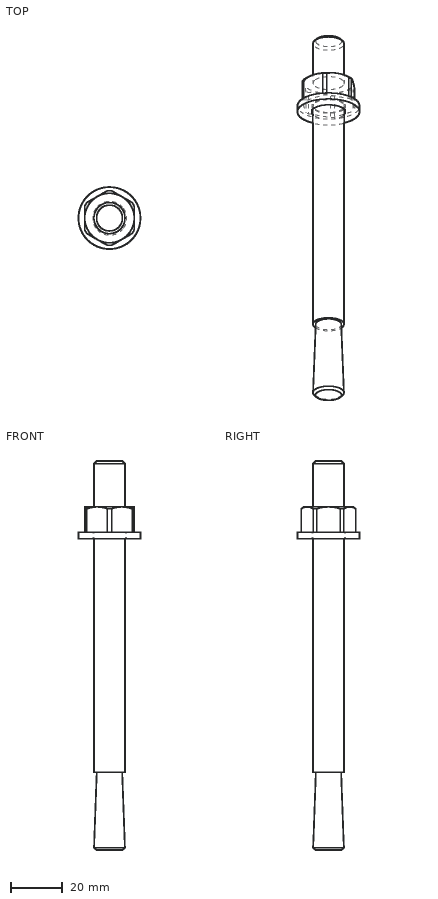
import cadquery as cq
import math

length = 150.0
shank_diameter = 12.0
shank_radius = shank_diameter / 2
top_z = length / 2
bottom_z = -length / 2
end_chamfer = 1.0

neck_top_z = bottom_z + 30.0
neck_radius = 5.0

washer_diameter = 24.0
washer_bore = 13.0
washer_thickness = 2.5
washer_bottom_z = top_z - 30.0
washer_top_z = washer_bottom_z + washer_thickness

nut_across_flats = 19.0
nut_corner_diameter = 21.2
nut_face_diameter = 19.0
nut_height = 9.8
nut_chamfer_height = 0.8


def make_stud():
    """Revolved anchor bolt with chamfered ends and a flared expansion neck."""
    chamfered_radius = shank_radius - end_chamfer
    profile = (
        cq.Workplane("XZ")
        .moveTo(0, bottom_z)
        .lineTo(chamfered_radius, bottom_z)
        .lineTo(shank_radius, bottom_z + end_chamfer)
        .lineTo(neck_radius, neck_top_z)
        .lineTo(shank_radius, neck_top_z)
        .lineTo(shank_radius, top_z - end_chamfer)
        .lineTo(chamfered_radius, top_z)
        .lineTo(0, top_z)
        .close()
    )
    return profile.revolve(360, (0, 0, 0), (0, 1, 0))


def make_nut():
    """Hexagon with its corners turned round and the top edge of those corners chamfered."""
    across_corners = nut_across_flats / math.cos(math.pi / 6)
    hexagon = (
        cq.Workplane("XY")
        .workplane(offset=washer_top_z)
        .polygon(6, across_corners)
        .extrude(nut_height)
        .rotate((0, 0, 0), (0, 0, 1), 30)
    )
    nut_top_z = washer_top_z + nut_height
    corner_radius = nut_corner_diameter / 2
    turned_blank = (
        cq.Workplane("XZ")
        .moveTo(0, washer_top_z)
        .lineTo(corner_radius, washer_top_z)
        .lineTo(corner_radius, nut_top_z - nut_chamfer_height)
        .lineTo(nut_face_diameter / 2, nut_top_z)
        .lineTo(0, nut_top_z)
        .close()
        .revolve(360, (0, 0, 0), (0, 1, 0))
    )
    return hexagon.intersect(turned_blank)


def make_washer():
    """Flat ring under the nut, with clearance around the shank."""
    return (
        cq.Workplane("XY")
        .workplane(offset=washer_bottom_z)
        .circle(washer_diameter / 2)
        .circle(washer_bore / 2)
        .extrude(washer_thickness)
    )


anchor = make_stud().union(make_nut())
washer = make_washer()

result = cq.Compound.makeCompound([anchor.val(), washer.val()])